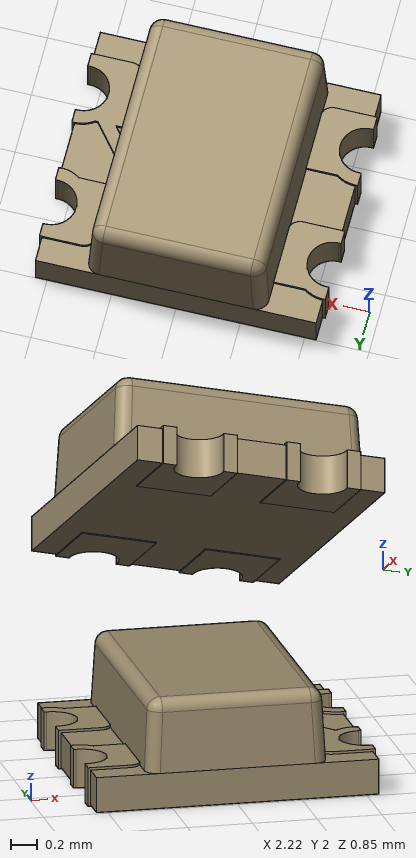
import cadquery as cq
import math

LENGTH_X = 2.22
WIDTH_Y = 2.0
TOTAL_HEIGHT = 0.85
PLATING = 0.02
BOTTOM_PLATING = 0.009
BASE_HEIGHT = 0.305
BOARD_BOTTOM = BOTTOM_PLATING
BOARD_TOP = BASE_HEIGHT - PLATING
BOARD_HALF_X = LENGTH_X / 2 - PLATING

TERMINAL_Y = 0.5
TERMINAL_HALF_WIDTH = 0.3
BOTTOM_PAD_LENGTH = 0.548
NOTCH_RADIUS = 0.19
PAD_INNER_X = 0.688
PAD_CORNER_RADIUS = 0.1
SHOULDER_RADIUS = 0.25
SHOULDER_DROP = 0.049

TRACE_WIDTH_X = 0.142
TRACE_FOOT_X = 0.92
TRACE_ANGLE = 51.6

LENS_LENGTH_X = 1.396
LENS_DRAFT = 3.0
LENS_RADIUS = 0.1

PAD_EDGE = TERMINAL_HALF_WIDTH - SHOULDER_DROP


def box(x_min, x_max, y_min, y_max, z_min, z_max):
    """Axis-aligned block between the given limits."""
    block = cq.Workplane("XY").box(x_max - x_min, y_max - y_min, z_max - z_min, centered=False)
    return block.translate((x_min, y_min, z_min))


def make_top_pad():
    """Top pad of a +X terminal centred on the X axis, with its shoulder on the +Y side."""
    shoulder_center_y = TERMINAL_HALF_WIDTH - SHOULDER_RADIUS
    sweep = math.acos((PAD_EDGE - shoulder_center_y) / SHOULDER_RADIUS)
    shoulder_end_x = BOARD_HALF_X - SHOULDER_RADIUS * math.sin(sweep)
    shoulder_mid = (
        BOARD_HALF_X - SHOULDER_RADIUS * math.sin(sweep / 2),
        shoulder_center_y + SHOULDER_RADIUS * math.cos(sweep / 2),
    )
    return (
        cq.Workplane("XY", origin=(0, 0, BOARD_TOP))
        .moveTo(LENGTH_X / 2, -TERMINAL_HALF_WIDTH)
        .lineTo(LENGTH_X / 2, TERMINAL_HALF_WIDTH)
        .lineTo(BOARD_HALF_X, TERMINAL_HALF_WIDTH)
        .threePointArc(shoulder_mid, (shoulder_end_x, PAD_EDGE))
        .lineTo(PAD_INNER_X, PAD_EDGE)
        .lineTo(PAD_INNER_X, -TERMINAL_HALF_WIDTH)
        .close()
        .extrude(PLATING)
        .edges("|Z and <X and <Y")
        .fillet(PAD_CORNER_RADIUS)
    )


def make_terminal():
    """Metal of one +X terminal: top pad, edge plate and bottom pad."""
    edge_plate = box(
        BOARD_HALF_X, LENGTH_X / 2, -TERMINAL_HALF_WIDTH, TERMINAL_HALF_WIDTH, 0, BASE_HEIGHT
    )
    bottom_pad = box(
        LENGTH_X / 2 - BOTTOM_PAD_LENGTH, LENGTH_X / 2,
        -TERMINAL_HALF_WIDTH, TERMINAL_HALF_WIDTH,
        0, BOTTOM_PLATING,
    )
    return edge_plate.union(make_top_pad()).union(bottom_pad)


def make_notch():
    """Round-ended cutter for the edge notch of a +X terminal."""
    hole = cq.Workplane("XY").center(BOARD_HALF_X, 0).circle(NOTCH_RADIUS).extrude(BASE_HEIGHT)
    mouth = box(BOARD_HALF_X, LENGTH_X / 2, -NOTCH_RADIUS, NOTCH_RADIUS, 0, BASE_HEIGHT)
    return hole.union(mouth)


def make_diagonal_trace():
    """Sloping trace from the lower +X pad to the inner end line of the pads."""
    foot_y = PAD_EDGE - TERMINAL_Y
    slope = math.tan(math.radians(TRACE_ANGLE))
    outer_rise = (TRACE_FOOT_X - PAD_INNER_X) * slope
    inner_rise = outer_rise - TRACE_WIDTH_X * slope
    return (
        cq.Workplane("XY", origin=(0, 0, BOARD_TOP))
        .polyline([
            (TRACE_FOOT_X, foot_y),
            (PAD_INNER_X, foot_y + outer_rise),
            (PAD_INNER_X, foot_y + inner_rise),
            (TRACE_FOOT_X - TRACE_WIDTH_X, foot_y),
        ])
        .close()
        .extrude(PLATING)
    )


def make_base():
    """Board with its four plated terminals and the diagonal trace."""
    base = box(-BOARD_HALF_X, BOARD_HALF_X, -WIDTH_Y / 2, WIDTH_Y / 2, BOARD_BOTTOM, BOARD_TOP)
    terminal = make_terminal()
    notch = make_notch()
    for x_side, y_side in ((-1, -1), (-1, 1), (1, -1), (1, 1)):
        placed_terminal = terminal
        placed_notch = notch
        if x_side < 0:
            placed_terminal = placed_terminal.mirror("YZ")
            placed_notch = placed_notch.mirror("YZ")
        elif y_side > 0:
            placed_terminal = placed_terminal.mirror("XZ")
        offset = (0, y_side * TERMINAL_Y, 0)
        base = base.union(placed_terminal.translate(offset)).cut(placed_notch.translate(offset))
    return base.union(make_diagonal_trace())


def make_lens(base):
    """Drafted, rounded lens standing on the board and recessed over the pad ends."""
    lens = (
        cq.Workplane("XY", origin=(0, 0, BOARD_TOP))
        .rect(LENS_LENGTH_X, WIDTH_Y)
        .extrude(TOTAL_HEIGHT - BOARD_TOP, taper=LENS_DRAFT)
        .edges("not #Z")
        .fillet(LENS_RADIUS)
        .faces(">Z")
        .edges()
        .fillet(LENS_RADIUS)
    )
    return lens.cut(base)


base = make_base()
lens = make_lens(base)
result = cq.Compound.makeCompound([base.solids().val(), lens.solids().val()])